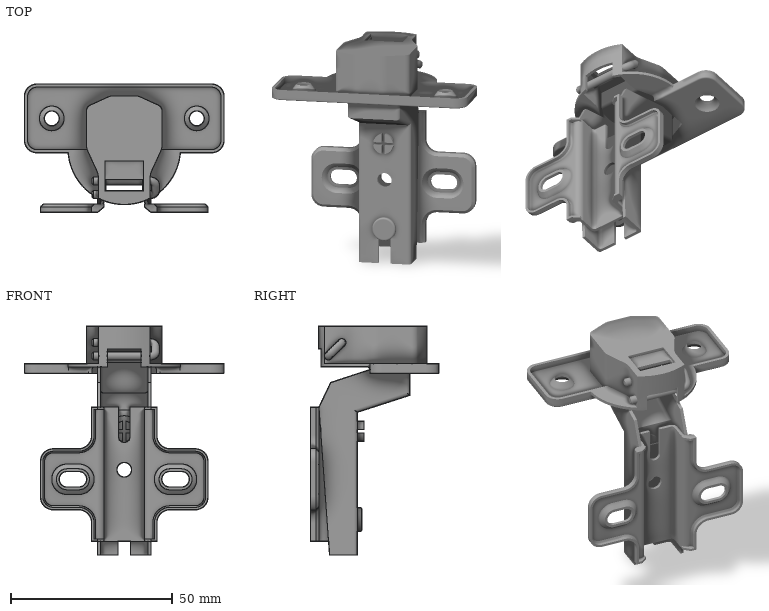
import cadquery as cq
import math

sheet = 1.0

top_z = 71.0
tray_width = 62.0
tray_front_y = 18.45
tray_back_y = 39.8
tray_bottom_z = 56.3
tray_top_z = 59.35
tray_corner_radius = 4.0
tray_bottom_round = 0.4
tray_hole_spacing = 44.95
tray_hole_diameter = 4.55
tray_dimple_diameter = 7.7

disc_radius = 17.5
disc_center_y = 19.9
disc_bottom_z = tray_top_z - sheet
disc_root_radius = 1.0

cup_half_width = 11.7
cup_neck_half_width = 8.0
cup_back_half_width = 4.25
cup_back_y = 36.15
cup_back_corner_y = 32.7
cup_shoulder_y = 19.9
cup_neck_y = 11.85
cup_wide_radius = 5.0
cup_tight_radius = 2.0

roof_thickness = 2 * sheet
window_width = 12.1
window_front_y = 6.7
window_back_y = 15.9
window_gap_width = 11.35
window_gap_back_y = 10.15
roof_step_y = 17.05
roof_step_z = 63.1
roof_step_radius = 0.85
opening_width = 10.5
opening_top_z = 64.0

rod_diameter = 2.5
rod_tip_chamfer = 0.4
rod_tip_x = -9.95
upper_leg_y = 9.7
upper_leg_z = 65.9
lower_leg_y = 5.55
lower_leg_z = 61.8
rod_bend_radius = 1.6
rod_bridge_x = 9.65

plate_bottom_z = 4.25
plate_top_z = 45.95
plate_depth = 2.6
wing_half_width = 26.0
wing_bottom_z = 14.05
wing_top_z = 33.0
neck_half_width = 10.15
plate_radius = 4.0
plate_back_chamfer = 0.9
rim_width = 0.8
rim_bevel = 0.5
floor_y = plate_depth - sheet

rail_inner_half_width = 6.25
rail_outer_half_width = rail_inner_half_width + sheet
rail_front_y = 8.9
rail_back_y = rail_front_y + sheet
bend_inner_radius = 1.0
bend_outer_radius = bend_inner_radius + sheet
rail_foot_x = rail_inner_half_width + bend_outer_radius
rim_end_bevel = 1.7

wing_slot_spacing = 31.8
wing_slot_z = (wing_bottom_z + wing_top_z) / 2
slot_center_distance = 3.7
slot_hole_width = 4.75
slot_ring_width = 6.5
slot_base_width = 9.45

rail_slot_width = 3.5
rail_slot_bottom_z = 34.9
access_hole_diameter = 4.5
access_hole_z = 26.5

arm_half_width = 8.3
arm_inner_half_width = arm_half_width - sheet
arm_lower_back_y = 14.55
arm_upper_back_y = 30.8
arm_lower_bend_z = 44.3
arm_upper_bend_z = 49.55
arm_end_z = 59.8
arm_bottom_front_y = 5.9
arm_knee_y = 2.6
arm_knee_z = 45.95
arm_elbow_y = 6.25
arm_elbow_z = 53.5
arm_top_front_y = 25.2
arm_edge_radius = 1.0
arm_slot_width = 3.8

height_screw_z = 38.4
height_screw_disc_diameter = 9.65
height_screw_diameter = 6.3
height_screw_length = 2.05
height_screw_front = 0.5
cross_slot_width = 1.0
depth_screw_z = 11.1
depth_screw_head_diameter = 7.4
depth_screw_head_height = 1.35
depth_screw_head_round = 0.6


def box(x_range, y_range, z_range):
    """A box between two values along each axis."""
    size = [high - low for low, high in (x_range, y_range, z_range)]
    low_corner = (x_range[0], y_range[0], z_range[0])
    return cq.Workplane("XY").box(*size, centered=False).translate(low_corner)


def facing_front(back_y):
    """A workplane in X and Z at a given Y; extruding from it goes toward -Y."""
    return cq.Workplane("XZ", origin=(0, back_y, 0))


def cylinder_along_y(diameter, z, front_y, back_y):
    return facing_front(back_y).center(0, z).circle(diameter / 2).extrude(back_y - front_y)


def cup_outline():
    """Solid of the cup's plan outline, from the tray bottom to the top."""
    front_y = disc_center_y - disc_radius
    neck_front_y = disc_center_y - math.sqrt(disc_radius**2 - cup_neck_half_width**2)
    outline = (
        cq.Workplane("XY", origin=(0, 0, tray_bottom_z))
        .moveTo(-cup_neck_half_width, neck_front_y)
        .threePointArc((0, front_y), (cup_neck_half_width, neck_front_y))
        .lineTo(cup_neck_half_width, cup_neck_y)
        .lineTo(cup_half_width, cup_shoulder_y)
        .lineTo(cup_half_width, cup_back_corner_y)
        .lineTo(cup_back_half_width, cup_back_y)
        .lineTo(-cup_back_half_width, cup_back_y)
        .lineTo(-cup_half_width, cup_back_corner_y)
        .lineTo(-cup_half_width, cup_shoulder_y)
        .lineTo(-cup_neck_half_width, cup_neck_y)
        .close()
        .extrude(top_z - tray_bottom_z)
    )
    wide_corners = (
        (cup_neck_half_width, cup_neck_y),
        (cup_half_width, cup_shoulder_y),
        (cup_back_half_width, cup_back_y),
    )
    outline = fillet_upright_edges(outline, wide_corners, cup_wide_radius)
    back_corner = ((cup_half_width, cup_back_corner_y),)
    return fillet_upright_edges(outline, back_corner, cup_tight_radius)


def fillet_upright_edges(body, corners, radius):
    """Rounds the Z-parallel edges at the given corners and at their mirror images in X."""
    for x, y in corners:
        for side in (-1, 1):
            near = cq.selectors.NearestToPointSelector((side * x, y, (tray_bottom_z + top_z) / 2))
            body = body.edges("|Z").edges(near).fillet(radius)
    return body


def tray_dimple(x, y, base_z):
    """Cone of the raised screw seat, standing on the given height."""
    height = tray_top_z - tray_bottom_z - sheet
    cone = cq.Solid.makeCone(tray_dimple_diameter / 2, tray_hole_diameter / 2, height)
    return cq.Workplane(cone).translate((x, y, base_z))


def make_tray():
    length = tray_back_y - tray_front_y
    center_y = (tray_front_y + tray_back_y) / 2
    tray = (
        cq.Workplane("XY", origin=(0, center_y, tray_bottom_z))
        .rect(tray_width, length)
        .extrude(tray_top_z - tray_bottom_z)
        .edges("|Z")
        .fillet(tray_corner_radius)
        .faces("<Z")
        .edges()
        .fillet(tray_bottom_round)
    )
    floor_z = tray_bottom_z + sheet
    pocket = (
        cq.Workplane("XY", origin=(0, center_y, floor_z))
        .rect(tray_width - 2 * sheet, length - 2 * sheet)
        .extrude(tray_top_z - floor_z)
        .edges("|Z")
        .fillet(tray_corner_radius - sheet)
    )
    tray = tray.cut(pocket)
    for side in (-1, 1):
        x = side * tray_hole_spacing / 2
        hole = (
            cq.Workplane("XY", origin=(x, center_y, tray_bottom_z))
            .circle(tray_hole_diameter / 2)
            .extrude(tray_top_z - tray_bottom_z)
        )
        tray = tray.union(tray_dimple(x, center_y, floor_z))
        tray = tray.cut(tray_dimple(x, center_y, tray_bottom_z)).cut(hole)
    return tray


def make_disc():
    """The part of the round rim in front of the tray, with a rounded root under it."""
    disc = (
        cq.Workplane("XY", origin=(0, disc_center_y, disc_bottom_z))
        .circle(disc_radius)
        .extrude(sheet)
        .intersect(box((-disc_radius, disc_radius), (0, tray_front_y), (0, top_z)))
    )
    root_y = tray_front_y - disc_root_radius
    root_z = disc_bottom_z - disc_root_radius
    half_width = math.sqrt(disc_radius**2 - (disc_center_y - root_y) ** 2)
    root = (
        cq.Workplane("YZ")
        .moveTo(tray_front_y, disc_bottom_z)
        .lineTo(root_y, disc_bottom_z)
        .radiusArc((tray_front_y, root_z), disc_root_radius)
        .close()
        .extrude(half_width, both=True)
    )
    return disc.union(root)


def make_cavity():
    """Hollow of the cup, open below, with a lower, round-edged roof behind the window."""
    cavity = (
        cup_outline().faces("<Z").wires().toPending().workplane(invert=True).offset2D(-sheet)
        .extrude(top_z - roof_thickness - tray_bottom_z, combine=False)
    )
    roof_step = box(
        (-cup_half_width, cup_half_width), (roof_step_y, cup_back_y), (roof_step_z, top_z)
    )
    return cavity.cut(roof_step.edges("|X and <Y and <Z").fillet(roof_step_radius))


def make_cup():
    below_disc = box((-tray_width, tray_width), (-tray_front_y, tray_front_y), (0, disc_bottom_z))
    window = box(
        (-window_width / 2, window_width / 2),
        (window_front_y, window_back_y),
        (top_z - sheet, top_z),
    )
    window_gap = box(
        (-window_gap_width / 2, window_gap_width / 2),
        (window_front_y, window_gap_back_y),
        (top_z - roof_thickness, top_z),
    )
    opening = box(
        (-opening_width / 2, opening_width / 2),
        (0, window_front_y),
        (tray_bottom_z, opening_top_z),
    )
    cup = make_tray().union(make_disc()).union(cup_outline().cut(below_disc))
    cup = cup.cut(make_cavity()).cut(window).cut(window_gap).cut(opening)
    for y, z in ((upper_leg_y, upper_leg_z), (lower_leg_y, lower_leg_z)):
        leg_hole = (
            cq.Workplane("YZ", origin=(0, y, z))
            .circle(rod_diameter / 2)
            .extrude(cup_neck_half_width, both=True)
        )
        cup = cup.cut(leg_hole)
    return cup.clean()


def staple_path():
    """Centre line of the staple: two legs along X joined by a bridge on the +X side."""
    bend = rod_bend_radius
    bend_start = rod_bridge_x - bend
    corner = bend * math.sqrt(0.5)
    leg_gap = math.hypot(upper_leg_y - lower_leg_y, upper_leg_z - lower_leg_z)
    plane = cq.Plane(
        origin=(0, lower_leg_y, lower_leg_z),
        xDir=(1, 0, 0),
        normal=(0, lower_leg_z - upper_leg_z, upper_leg_y - lower_leg_y),
    )
    return (
        cq.Workplane(plane)
        .moveTo(rod_tip_x, 0)
        .lineTo(bend_start, 0)
        .threePointArc((bend_start + corner, bend - corner), (rod_bridge_x, bend))
        .lineTo(rod_bridge_x, leg_gap - bend)
        .threePointArc((bend_start + corner, leg_gap - bend + corner), (bend_start, leg_gap))
        .lineTo(rod_tip_x, leg_gap)
    )


def make_staple():
    return (
        cq.Workplane("YZ", origin=(rod_tip_x, lower_leg_y, lower_leg_z))
        .circle(rod_diameter / 2)
        .sweep(staple_path())
        .faces("<X")
        .edges()
        .chamfer(rod_tip_chamfer)
    )


def cross_body(inset, depth):
    """Cross-shaped plate with rounded corners, its sides moved inward by the inset."""
    neck_x = neck_half_width - inset
    wing_x = wing_half_width - inset
    low_z = wing_bottom_z + inset
    high_z = wing_top_z - inset
    tip_radius = plate_radius - inset
    root_radius = plate_radius + inset
    return (
        facing_front(depth)
        .moveTo(0, plate_bottom_z + inset)
        .lineTo(neck_x, plate_bottom_z + inset)
        .lineTo(neck_x, low_z - root_radius)
        .radiusArc((neck_x + root_radius, low_z), root_radius)
        .lineTo(wing_x - tip_radius, low_z)
        .radiusArc((wing_x, low_z + tip_radius), -tip_radius)
        .lineTo(wing_x, high_z - tip_radius)
        .radiusArc((wing_x - tip_radius, high_z), -tip_radius)
        .lineTo(neck_x + root_radius, high_z)
        .radiusArc((neck_x, high_z + root_radius), root_radius)
        .lineTo(neck_x, plate_top_z - inset)
        .lineTo(0, plate_top_z - inset)
        .mirrorY()
        .extrude(depth)
    )


def bevel_back_sides(body, size):
    """Bevels the back edge all round, except along the upper and lower ends."""
    ends = cq.selectors.BoxSelector(
        (-0.7, -0.7, plate_bottom_z - 0.7), (0.7, plate_depth + 0.7, plate_bottom_z + rim_width + 0.7)
    ) + cq.selectors.BoxSelector(
        (-0.7, -0.7, plate_top_z - rim_width - 0.7), (0.7, plate_depth + 0.7, plate_top_z + 0.7)
    )
    back_edges = body.faces(">Y").edges()
    return back_edges.edges(cq.selectors.SubtractSelector(cq.selectors.Selector(), ends)).chamfer(size)


def make_rail():
    """The raised channel between the wings, a bent sheet with rounded corners."""
    section = [
        (rail_foot_x, floor_y),
        (rail_inner_half_width, floor_y),
        (rail_inner_half_width, rail_front_y),
        (-rail_inner_half_width, rail_front_y),
        (-rail_inner_half_width, floor_y),
        (-rail_foot_x, floor_y),
        (-rail_foot_x, plate_depth),
        (-rail_outer_half_width, plate_depth),
        (-rail_outer_half_width, rail_back_y),
        (rail_outer_half_width, rail_back_y),
        (rail_outer_half_width, plate_depth),
        (rail_foot_x, plate_depth),
    ]
    rail = (
        cq.Workplane("XY", origin=(0, 0, plate_bottom_z))
        .polyline(section)
        .close()
        .extrude(plate_top_z - plate_bottom_z)
    )
    foot_fit = 0.99
    bends = (
        (rail_inner_half_width, floor_y, bend_outer_radius * foot_fit),
        (rail_outer_half_width, plate_depth, bend_inner_radius * foot_fit),
        (rail_inner_half_width, rail_front_y, bend_inner_radius),
        (rail_outer_half_width, rail_back_y, bend_outer_radius),
    )
    middle_z = (plate_bottom_z + plate_top_z) / 2
    for x, y, radius in bends:
        for side in (-1, 1):
            near = cq.selectors.NearestToPointSelector((side * x, y, middle_z))
            rail = rail.edges("|Z").edges(near).fillet(radius)
    return rail


def slot_prism(width, x, back_y, depth, taper=0):
    return (
        facing_front(back_y)
        .center(x, wing_slot_z)
        .slot2D(slot_center_distance + width, width)
        .extrude(depth, taper=taper)
    )


def make_plate():
    channel = (
        cq.Workplane("XY", origin=(0, 0, plate_bottom_z))
        .polyline([
            (-rail_foot_x, 0),
            (-rail_inner_half_width, rim_end_bevel),
            (-rail_inner_half_width, plate_depth),
            (rail_inner_half_width, plate_depth),
            (rail_inner_half_width, rim_end_bevel),
            (rail_foot_x, 0),
        ])
        .close()
        .extrude(plate_top_z - plate_bottom_z)
    )
    rail_bed = box(
        (-rail_foot_x, rail_foot_x),
        (0, plate_depth),
        (plate_bottom_z + rim_width, plate_top_z - rim_width),
    )
    plate = bevel_back_sides(cross_body(0, plate_depth), plate_back_chamfer)
    plate = plate.cut(bevel_back_sides(cross_body(rim_width, floor_y), rim_bevel))
    plate = plate.cut(channel).cut(rail_bed).union(make_rail())

    ring_taper = math.degrees(math.atan((slot_base_width - slot_ring_width) / 2 / floor_y))
    for side in (-1, 1):
        x = side * wing_slot_spacing / 2
        plate = plate.union(slot_prism(slot_base_width, x, floor_y, floor_y, ring_taper))
        plate = plate.cut(slot_prism(slot_base_width, x, plate_depth, floor_y, ring_taper))
        plate = plate.cut(slot_prism(slot_hole_width, x, plate_depth, plate_depth))

    slot_radius = rail_slot_width / 2
    slot_end_z = rail_slot_bottom_z + slot_radius
    rail_slot = box((-slot_radius, slot_radius), (rail_front_y, rail_back_y), (slot_end_z, plate_top_z))
    slot_end = cylinder_along_y(rail_slot_width, slot_end_z, rail_front_y, rail_back_y)
    access_hole = cylinder_along_y(access_hole_diameter, access_hole_z, rail_front_y, rail_back_y)
    return plate.cut(rail_slot).cut(slot_end).cut(access_hole)


def arm_profile(back_offset):
    """Side outline of the arm, with its back moved inward by the offset."""
    slope = (arm_upper_bend_z - arm_lower_bend_z) / (arm_upper_back_y - arm_lower_back_y)
    rise = back_offset * math.hypot(1, slope) - back_offset * slope
    return [
        (arm_bottom_front_y, 0),
        (arm_lower_back_y - back_offset, 0),
        (arm_lower_back_y - back_offset, arm_lower_bend_z + rise),
        (arm_upper_back_y - back_offset, arm_upper_bend_z + rise),
        (arm_upper_back_y - back_offset, arm_end_z),
        (arm_top_front_y, arm_end_z),
        (arm_elbow_y, arm_elbow_z),
        (arm_knee_y, arm_knee_z),
    ]


def arm_block(back_offset, half_width):
    """Solid arm of the given width, with its long back edges rounded."""
    profile = arm_profile(back_offset)
    block = cq.Workplane("YZ").polyline(profile).close().extrude(half_width, both=True)
    bottom, lower_bend, upper_bend, end = profile[1:5]
    for x in (-half_width, half_width):
        lower, sloped, upper = [
            cq.selectors.NearestToPointSelector((x, (y0 + y1) / 2, (z0 + z1) / 2))
            for (y0, z0), (y1, z1) in ((bottom, lower_bend), (lower_bend, upper_bend), (upper_bend, end))
        ]
        block = block.edges(lower + sloped + upper).fillet(arm_edge_radius)
    return block


def make_arm():
    arm = arm_block(0, arm_half_width).cut(arm_block(sheet, arm_inner_half_width))
    web_front_y = arm_lower_back_y - sheet
    slot = box(
        (-arm_slot_width / 2, arm_slot_width / 2),
        (web_front_y, arm_lower_back_y),
        (0, depth_screw_z),
    )
    arm = arm.cut(slot)
    web_holes = (
        (arm_slot_width, depth_screw_z),
        (access_hole_diameter, access_hole_z),
        (height_screw_disc_diameter, height_screw_z),
    )
    for diameter, z in web_holes:
        arm = arm.cut(cylinder_along_y(diameter, z, web_front_y, arm_lower_back_y))
    return arm


def make_height_screw():
    """A disc filling its hole in the arm, with a cross-slotted head on both sides."""
    web_front_y = arm_lower_back_y - sheet
    radius = height_screw_diameter / 2
    half_slot = cross_slot_width / 2
    screw = cylinder_along_y(
        height_screw_disc_diameter, height_screw_z, web_front_y, arm_lower_back_y
    )
    heads = (
        (web_front_y - height_screw_front, web_front_y),
        (arm_lower_back_y, arm_lower_back_y + height_screw_length),
    )
    for span in heads:
        head = cylinder_along_y(height_screw_diameter, height_screw_z, *span)
        upright_slot = box(
            (-half_slot, half_slot), span, (height_screw_z - radius, height_screw_z + radius)
        )
        level_slot = box(
            (-radius, radius), span, (height_screw_z - half_slot, height_screw_z + half_slot)
        )
        screw = screw.union(head.cut(upright_slot).cut(level_slot))
    return screw


def make_depth_screw():
    """A round-edged head behind the arm, with a shank reaching the back of the rail."""
    head = cylinder_along_y(
        depth_screw_head_diameter,
        depth_screw_z,
        arm_lower_back_y,
        arm_lower_back_y + depth_screw_head_height,
    )
    head = head.faces(">Y").edges().fillet(depth_screw_head_round)
    return head.union(cylinder_along_y(arm_slot_width, depth_screw_z, rail_back_y, arm_lower_back_y))


cup = make_cup()
staple = make_staple()
plate = make_plate()
arm = make_arm().cut(plate)
height_screw = make_height_screw()
depth_screw = make_depth_screw()

result = cq.Compound.makeCompound([
    cup.val(),
    staple.val(),
    plate.val(),
    arm.val(),
    height_screw.val(),
    depth_screw.val(),
])